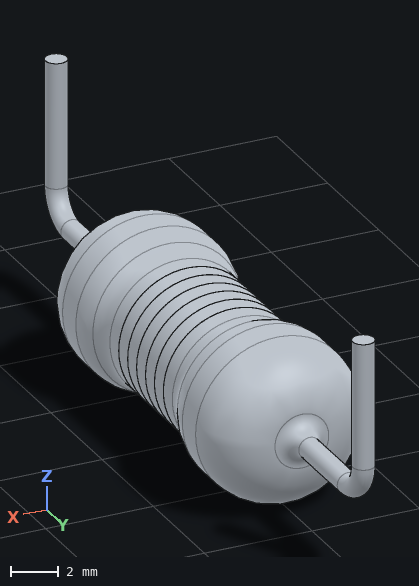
import cadquery as cq

body_length = 18.0
cap_diameter = 7.5
barrel_diameter = 6.38
cap_round = 2.5
cap_inner_end = 5.2
barrel_half_length = 3.05

band_diameter = 6.39
band_count = 3

lead_diameter = 1.0
lead_spacing = 30.0
lead_top = 7.35
bend_radius = 1.5

body_half = body_length / 2
cap_radius = cap_diameter / 2
barrel_radius = barrel_diameter / 2
band_radius = band_diameter / 2
lead_radius = lead_diameter / 2
lead_y = lead_spacing / 2
dome_start = body_half - cap_round
dome_top_radius = cap_radius - cap_round
flare_radius = dome_top_radius - lead_radius
flare_end = body_half + flare_radius
band_width = 2 * barrel_half_length / (2 * band_count + 1)


def revolve_about_y(profile):
    return profile.close().revolve(360, (0, 0, 0), (0, 1, 0))


def make_half_body():
    """Half of the body on the +Y side: barrel, shoulder, domed cap and lead flare."""
    shoulder_middle = (
        (barrel_radius + cap_radius) / 2,
        (barrel_half_length + cap_inner_end) / 2,
    )
    return revolve_about_y(
        cq.Workplane("XY")
        .lineTo(barrel_radius, 0)
        .lineTo(barrel_radius, barrel_half_length)
        .tangentArcPoint(shoulder_middle, relative=False)
        .tangentArcPoint((cap_radius, cap_inner_end), relative=False)
        .lineTo(cap_radius, dome_start)
        .tangentArcPoint((dome_top_radius, body_half), relative=False)
        .tangentArcPoint((lead_radius, flare_end), relative=False)
        .lineTo(0, flare_end)
    )


def make_band(start_y):
    """Disc through the barrel whose rim stands just above the barrel surface."""
    end_y = start_y + band_width
    return revolve_about_y(
        cq.Workplane("XY")
        .moveTo(0, start_y)
        .lineTo(band_radius, start_y)
        .lineTo(band_radius, end_y)
        .lineTo(0, end_y)
    )


def make_lead():
    """Wire on the +Y side: out along the body axis, then bent upward."""
    path = (
        cq.Workplane("YZ")
        .moveTo(flare_end, 0)
        .lineTo(lead_y - bend_radius, 0)
        .tangentArcPoint((lead_y, bend_radius), relative=False)
        .lineTo(lead_y, lead_top)
    )
    start_plane = cq.Plane(origin=(0, flare_end, 0), xDir=(1, 0, 0), normal=(0, 1, 0))
    return cq.Workplane(start_plane).circle(lead_radius).sweep(path)


half = make_half_body().union(make_lead())
result = half.union(half.mirror("XZ"))
for index in range(band_count):
    band_start = (2 * index + 1) * band_width - barrel_half_length
    result = result.union(make_band(band_start))